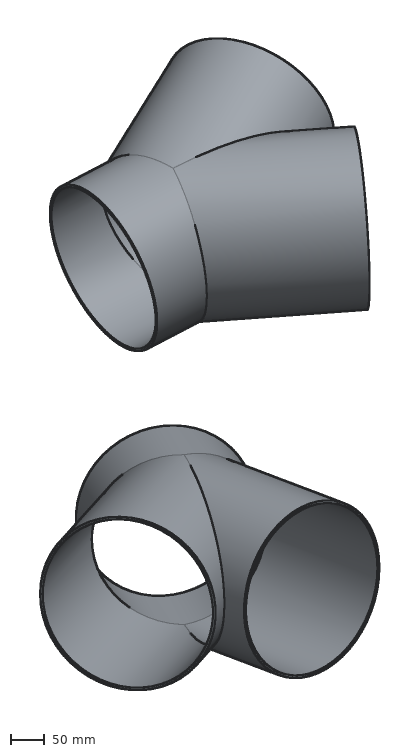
import cadquery as cq
import math

outer_diameter = 273.05
inner_diameter = 264.67
inlet_length = 127.0
branch_length = 279.4
branch_angle = 30.0

outer_radius = outer_diameter / 2
miter_slope = math.tan(math.radians(branch_angle / 2))
trim_overlap = outer_diameter
trim_reach = 2 * (branch_length + outer_diameter)


def pipe(length):
    """Pipe along +Y, from behind the junction to its end face."""
    return (
        cq.Workplane("XZ", origin=(0, length, 0))
        .circle(outer_radius)
        .circle(inner_diameter / 2)
        .extrude(length + trim_overlap)
    )


def trim_prism(points):
    """Prism through the full height of the part over an XY outline."""
    return cq.Workplane("XY").polyline(points).close().extrude(outer_diameter, both=True)


def make_inlet():
    """Inlet pipe along -Y, cut to a shallow point by the two miter planes."""
    miter_drop = trim_reach * miter_slope
    below_miters = trim_prism([
        (0, 0),
        (trim_reach, -miter_drop),
        (trim_reach, -trim_reach),
        (-trim_reach, -trim_reach),
        (-trim_reach, -miter_drop),
    ])
    inlet = pipe(inlet_length).rotate((0, 0, 0), (0, 0, 1), 180)
    return inlet.intersect(below_miters)


def make_right_branch():
    """Branch on +X, cut by the inlet miter plane and the YZ symmetry plane."""
    branch_side = trim_prism([
        (0, 0),
        (trim_reach, -trim_reach * miter_slope),
        (trim_reach, trim_reach),
        (0, trim_reach),
    ])
    branch = pipe(branch_length).rotate((0, 0, 0), (0, 0, 1), -branch_angle)
    return branch.intersect(branch_side)


right_branch = make_right_branch()
left_branch = right_branch.mirror("YZ")

result = make_inlet().union(right_branch).union(left_branch)